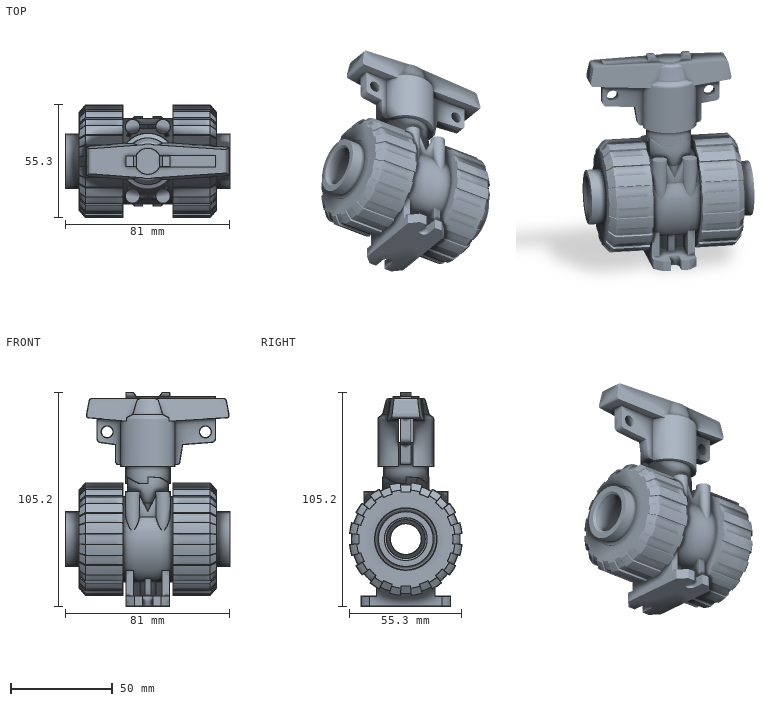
import cadquery as cq

PIPE_END_X = 40.5
PIPE_R = 13.5
SOCKET_R = 9.6
SOCKET_CHAMFER = 0.9
BORE_R = 7.6
BARREL_R = 21.0
BARREL_END_X = 23.1
FLANGE_END_X = 28.4
COLLAR_R = 15.1

NUT_INNER_X = 12.3
NUT_OUTER_X = 33.8
NUT_HOLE_R = 15.4
TOOTH_COUNT = 16
TOOTH_R = 27.8
ROOT_R = 26.7
CHAMFER_LENGTH = 3.2
CHAMFER_DROP = 3.6

NECK_R = 11.5
NECK_FLAT_X = 10.1
RAMP_LOW_Z = 27.3
RAMP_HIGH_Z = 30.8
RAMP_START_Z = 30.2
RAMP_START = -2.5
RAMP_END = 4.4

POST_R = 3.6
POST_X = 7.5
POST_Y = 17.0
POST_TOP_Z = 23.3
WEB_THICKNESS = 1.9
NOTCH_BOTTOM_Z = 13.7
NOTCH_HALF_WIDTH = 4.9
GUSSET_REACH = 5.7
GUSSET_FOOT_Z = 15.8
GUSSET_TOP_Z = 21.6
GUSSET_ANGLE = 67.0

FOOT_BOTTOM_Z = -33.0
FOOT_TOP_Z = -28.1
FOOT_HALF_X = 10.7
FOOT_HALF_Y = 22.0
FOOT_CHAMFER = 4.2
SLOT_WIDTH = 5.2
SLOT_CENTER_Y = 16.2
WALL_THICKNESS = 3.7
WALL_HALF_Y = 14.4
RIB_THICKNESS = 2.9
RIB_HALF_Y = 8.0
FOOT_BOSS_R = 4.2

HUB_R = 13.8
HUB_BOTTOM_Z = 35.7
HUB_EDGE_Z = 58.7
SHOULDER_R = 12.7
SHOULDER_Z = 60.3
STEM_R = 11.0
STEM_TOP_Z = 47.5
CONE_BOTTOM_R = 11.5
CONE_BOTTOM_Z = 61.3
CONE_TOP_R = 9.7
CONE_TOP_Z = 67.9
CROWN_R = 8.5
HUB_SLOT_WIDTH = 7.0
HUB_SLOT_TOP_Z = 59.2

BAR_TOP_Z = 69.2
BAR_LEFT_X = -30.1
BAR_RIGHT_X = 39.9
BAR_END_Z = 59.6
BAR_MIDDLE_Z = 58.0
BAR_MIDDLE_X = 10.5
BAR_LIP_Z = 61.6
BAR_END_LEAN = 1.5
BAR_TOP_ROUND = 1.6
BAR_LIP_ROUND = 0.9
BAR_LEFT_HALF_Y = 6.0
BAR_MIDDLE_HALF_Y = 8.3
BAR_RIGHT_HALF_Y = 5.7
BAR_DRAFT = 7.5

FIN_THICKNESS = 5.3
FIN_LEFT_X = -25.0
FIN_RIGHT_X = 33.3
FIN_EAR_Z = 47.6
FIN_WAIST_Z = 46.4
FIN_BOTTOM_Z = 36.6
FIN_WAIST_LEFT_X = -15.9
FIN_WAIST_RIGHT_X = 17.1
FIN_FOOT_RIGHT_X = 15.6
EAR_ROUND = 2.1
FIN_FOOT_ROUND = 1.6
FIN_HOLE_R = 2.8
FIN_HOLE_Z = 52.7
FIN_HOLES_X = (-20.0, 28.3)

TOP_Z = 105.2 + FOOT_BOTTOM_Z
DISC_R = 6.4
DISC_TOP_Z = 70.1
LUG_WIDTH = 5.2
LUG_FOOT_X = 5.7
LUG_CREST_X = 7.2
LUG_END_X = 10.8
LUG_ROUND = 0.6
STRIP_WIDTH = 5.5
STRIP_END_X = 33.2


def slab(x_size, y_size, z_bottom, z_top):
    """Box centred on the Z axis between two heights."""
    block = cq.Workplane().box(x_size, y_size, z_top - z_bottom, (True, True, False))
    return block.translate((0, 0, z_bottom))


def disc(radius, z_bottom, z_top):
    """Cylinder about the Z axis between two heights."""
    return cq.Workplane().workplane(offset=z_bottom).circle(radius).extrude(z_top - z_bottom)


def rod(radius, x_start, x_end):
    """Cylinder about the pipe axis."""
    return cq.Workplane("YZ").workplane(offset=x_start).circle(radius).extrude(x_end - x_start)


def plate(points, thickness):
    """Outline of X and Z points, extruded evenly to both sides of the XZ plane."""
    return cq.Workplane("XZ").polyline(points).close().extrude(thickness / 2, both=True)


def make_connector():
    """Pipe end with the flange that the nut clamps to the housing."""
    body = rod(BARREL_R, BARREL_END_X, FLANGE_END_X)
    body = body.union(rod(COLLAR_R, FLANGE_END_X, NUT_OUTER_X))
    body = body.union(rod(PIPE_R, NUT_OUTER_X, PIPE_END_X))
    body = body.cut(rod(SOCKET_R, BARREL_END_X, PIPE_END_X))
    return body.edges(cq.selectors.RadiusNthSelector(0)).edges(">X").chamfer(SOCKET_CHAMFER)


def nut_blank(radius, angle):
    """Turned sector of a nut with a chamfer around its outer end."""
    points = [
        (NUT_INNER_X, 0),
        (NUT_INNER_X, radius),
        (NUT_OUTER_X - CHAMFER_LENGTH, radius),
        (NUT_OUTER_X, radius - CHAMFER_DROP),
        (NUT_OUTER_X, 0),
    ]
    return cq.Workplane("XY").polyline(points).close().revolve(angle, (0, 0, 0), (1, 0, 0))


def make_nut():
    """Union nut with grip teeth, bored for the barrel and lipped over the flange."""
    body = nut_blank(ROOT_R, 360)
    tooth_angle = 180 / TOOTH_COUNT
    tooth = nut_blank(TOOTH_R, tooth_angle)
    for index in range(TOOTH_COUNT):
        turn = tooth_angle * (2 * index + 0.5)
        body = body.union(tooth.rotate((0, 0, 0), (1, 0, 0), turn))
    body = body.cut(rod(BARREL_R, NUT_INNER_X, FLANGE_END_X))
    return body.cut(rod(NUT_HOLE_R, FLANGE_END_X, NUT_OUTER_X))


def make_ramped_stub():
    """Round stub; each quarter of its top falls along one ramp, with a step up to the next."""
    ramp_points = [
        (-NECK_R, 0),
        (-NECK_R, RAMP_HIGH_Z),
        (RAMP_START, RAMP_START_Z),
        (RAMP_END, RAMP_LOW_Z),
        (NECK_R, RAMP_LOW_Z),
        (NECK_R, 0),
    ]
    ramp = cq.Workplane("XZ").polyline(ramp_points).close().extrude(NECK_R)
    ramp = ramp.rotate((0, 0, 0), (0, 0, 1), 45)
    quadrant = cq.Workplane().box(NECK_R, NECK_R, RAMP_HIGH_Z, False).translate((0, -NECK_R, 0))
    quarter = quadrant.intersect(ramp)
    stub = quarter
    for index in range(1, 4):
        stub = stub.union(quarter.rotate((0, 0, 0), (0, 0, 1), 90 * index))
    return stub.intersect(disc(NECK_R, 0, RAMP_HIGH_Z))


def make_neck():
    """Ramped stub with a flat on each X side."""
    return make_ramped_stub().intersect(slab(2 * NECK_FLAT_X, 2 * NECK_R, 0, RAMP_HIGH_Z))


def make_post_pair():
    """Two posts on the +Y side, the notched web between them and a gusset beside each."""
    notch = [(0, NOTCH_BOTTOM_Z), (NOTCH_HALF_WIDTH, POST_TOP_Z), (-NOTCH_HALF_WIDTH, POST_TOP_Z)]
    pair = slab(2 * POST_X, WEB_THICKNESS, 0, POST_TOP_Z).cut(plate(notch, WEB_THICKNESS))
    gusset = plate(
        [(0, 0), (GUSSET_REACH, 0), (GUSSET_REACH, GUSSET_FOOT_Z), (POST_R, GUSSET_TOP_Z), (0, GUSSET_TOP_Z)],
        WEB_THICKNESS,
    )
    for side in (-1, 1):
        turned = gusset.rotate((0, 0, 0), (0, 0, 1), -90 + side * (90 - GUSSET_ANGLE))
        post = disc(POST_R, 0, POST_TOP_Z).union(turned)
        pair = pair.union(post.translate((side * POST_X, 0, 0)))
    return pair.translate((0, POST_Y, 0))


def make_foot():
    """Slotted plate on two walls, with a boss and crossed ribs between the walls."""
    foot = slab(2 * FOOT_HALF_X, 2 * FOOT_HALF_Y, FOOT_BOTTOM_Z, FOOT_TOP_Z)
    foot = foot.edges("|Z").chamfer(FOOT_CHAMFER)
    slot_length = FOOT_HALF_Y
    for side in (-1, 1):
        slot = disc(SLOT_WIDTH / 2, FOOT_BOTTOM_Z, FOOT_TOP_Z)
        opening = slab(SLOT_WIDTH, slot_length, FOOT_BOTTOM_Z, FOOT_TOP_Z)
        slot = slot.union(opening.translate((0, side * slot_length / 2, 0)))
        foot = foot.cut(slot.translate((0, side * SLOT_CENTER_Y, 0)))
        wall = slab(WALL_THICKNESS, 2 * WALL_HALF_Y, FOOT_TOP_Z, 0)
        foot = foot.union(wall.translate((side * (FOOT_HALF_X - WALL_THICKNESS / 2), 0, 0)))
    foot = foot.union(slab(RIB_THICKNESS, 2 * RIB_HALF_Y, FOOT_TOP_Z, 0))
    foot = foot.union(slab(2 * FOOT_HALF_X - WALL_THICKNESS, RIB_THICKNESS, FOOT_TOP_Z, 0))
    return foot.union(disc(FOOT_BOSS_R, FOOT_TOP_Z, 0))


def make_housing():
    """Barrel with its neck, posts and foot, bored through along the pipe axis."""
    posts = make_post_pair()
    body = rod(BARREL_R, -BARREL_END_X, BARREL_END_X)
    body = body.union(make_neck())
    body = body.union(posts).union(posts.mirror("XZ"))
    body = body.union(make_foot())
    return body.cut(rod(BORE_R, -BARREL_END_X, BARREL_END_X))


def make_hub():
    """Turned hub with a rounded shoulder and a cone above it."""
    profile = (
        cq.Workplane("XZ")
        .moveTo(0, HUB_BOTTOM_Z)
        .lineTo(HUB_R, HUB_BOTTOM_Z)
        .lineTo(HUB_R, HUB_EDGE_Z)
        .tangentArcPoint((SHOULDER_R, SHOULDER_Z), relative=False)
        .lineTo(CONE_BOTTOM_R, CONE_BOTTOM_Z)
        .lineTo(CONE_TOP_R, CONE_TOP_Z)
        .tangentArcPoint((CROWN_R, BAR_TOP_Z), relative=False)
        .lineTo(0, BAR_TOP_Z)
        .close()
    )
    hub = profile.revolve(360, (0, 0, 0), (0, 1, 0))
    return hub.cut(slab(2 * HUB_R, HUB_SLOT_WIDTH, HUB_BOTTOM_Z, HUB_SLOT_TOP_Z))


def make_bar():
    """Bar that is widest at the hub, with drafted sides, leaning ends and a groove below."""
    outline = [
        (BAR_LEFT_X, BAR_LEFT_HALF_Y),
        (0, BAR_MIDDLE_HALF_Y),
        (BAR_RIGHT_X, BAR_RIGHT_HALF_Y),
        (BAR_RIGHT_X, -BAR_RIGHT_HALF_Y),
        (0, -BAR_MIDDLE_HALF_Y),
        (BAR_LEFT_X, -BAR_LEFT_HALF_Y),
    ]
    depth = BAR_TOP_Z - BAR_MIDDLE_Z
    top_outline = cq.Workplane().workplane(offset=BAR_TOP_Z).polyline(outline).close()
    drafted = top_outline.extrude(-depth, taper=-BAR_DRAFT)
    side = [
        (BAR_LEFT_X, BAR_END_Z),
        (BAR_LEFT_X, BAR_LIP_Z),
        (BAR_LEFT_X + BAR_END_LEAN, BAR_TOP_Z),
        (BAR_RIGHT_X - BAR_END_LEAN, BAR_TOP_Z),
        (BAR_RIGHT_X, BAR_LIP_Z),
        (BAR_RIGHT_X, BAR_END_Z),
        (BAR_MIDDLE_X, BAR_MIDDLE_Z),
        (-BAR_MIDDLE_X, BAR_MIDDLE_Z),
    ]
    ends = plate(side, 2 * HUB_R).edges("|Y and >Z").fillet(BAR_TOP_ROUND)
    for end_face in ("<X", ">X"):
        ends = ends.faces(end_face).edges("|Y and <Z").fillet(BAR_LIP_ROUND)
    groove = slab(2 * BAR_RIGHT_X, HUB_SLOT_WIDTH, BAR_MIDDLE_Z, HUB_SLOT_TOP_Z)
    return drafted.intersect(ends).cut(groove)


def make_fin():
    """Upright plate with a holed ear at each end; it runs from the bar down into the stem."""
    outline = [
        (FIN_LEFT_X, BAR_END_Z),
        (FIN_LEFT_X, FIN_EAR_Z),
        (FIN_WAIST_LEFT_X, FIN_WAIST_Z),
        (FIN_WAIST_LEFT_X, FIN_BOTTOM_Z),
        (FIN_FOOT_RIGHT_X, FIN_BOTTOM_Z),
        (FIN_WAIST_RIGHT_X, FIN_WAIST_Z),
        (FIN_RIGHT_X, FIN_EAR_Z),
        (FIN_RIGHT_X, BAR_END_Z),
    ]
    fin = plate(outline, FIN_THICKNESS)
    for end_face in ("<X", ">X"):
        fin = fin.faces(end_face).edges("|Y and <Z").fillet(EAR_ROUND)
    fin = fin.edges("|Y and <Z").fillet(FIN_FOOT_ROUND)
    for x in FIN_HOLES_X:
        hole = cq.Workplane("XZ").center(x, FIN_HOLE_Z).circle(FIN_HOLE_R).extrude(FIN_THICKNESS, both=True)
        fin = fin.cut(hole)
    return fin


def make_top_marks():
    """Disc over the hub, a ramped lug on each side of it and the long pointer strip."""
    marks = disc(DISC_R, BAR_TOP_Z, DISC_TOP_Z)
    lug = plate(
        [
            (0, BAR_TOP_Z),
            (0, DISC_TOP_Z),
            (LUG_FOOT_X, DISC_TOP_Z),
            (LUG_CREST_X, TOP_Z),
            (LUG_END_X, TOP_Z),
            (LUG_END_X, BAR_TOP_Z),
        ],
        LUG_WIDTH,
    )
    lug = lug.faces(">X").edges(">Z").fillet(LUG_ROUND)
    strip = slab(STRIP_END_X, STRIP_WIDTH, BAR_TOP_Z, DISC_TOP_Z).translate((STRIP_END_X / 2, 0, 0))
    return marks.union(lug).union(lug.mirror("YZ")).union(strip)


def make_handle():
    """Handle whose stem sits on the ramps of the neck."""
    stem = disc(STEM_R, RAMP_LOW_Z, STEM_TOP_Z).cut(make_ramped_stub())
    handle = make_hub().union(stem).union(make_bar())
    return handle.union(make_fin()).union(make_top_marks())


housing = make_housing()
handle = make_handle()
connector = make_connector()
nut = make_nut()
connectors = [connector, connector.mirror("YZ")]
nuts = [nut, nut.mirror("YZ")]

result = cq.Compound.makeCompound(
    [housing.val(), handle.val()] + [body.val() for body in connectors] + [body.val() for body in nuts]
)